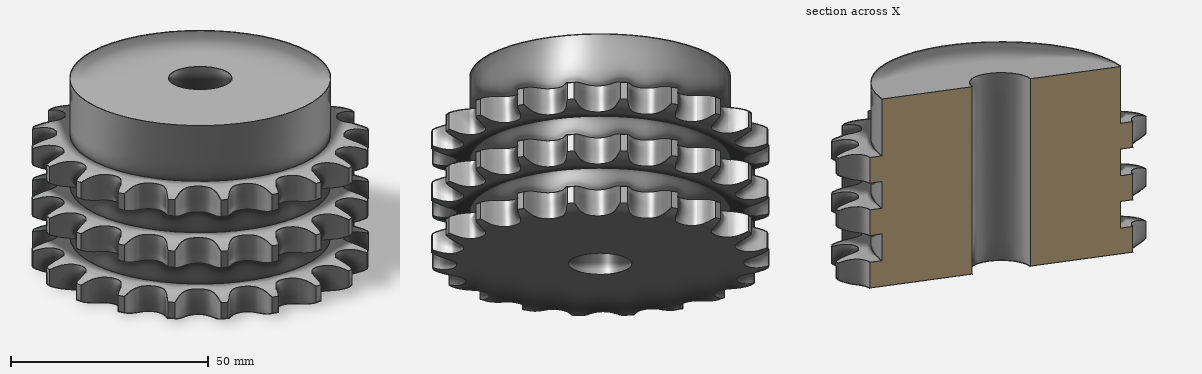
import cadquery as cq
import math

TEETH = 20
PITCH_DIAMETER = 81.2
OVERALL_WIDTH = 85.0
ROLLER_DIAMETER = 8.5
SEAT_CLEARANCE = 0.038

PLATE_COUNT = 3
PLATE_THICKNESS = 7.0
PLATE_SPACING = 13.9
SIDE_RADIUS = 13.0
SIDE_DEPTH = 1.3

HUB_DIAMETER = 66.0
HUB_HEIGHT = 50.0
BORE_DIAMETER = 16.0

TOOTH_ANGLE = 360 / TEETH
CUT_MARGIN = 4.25


def polar(center, radius, angle):
    """Point at the given angle in degrees, measured from +X around a center."""
    turn = math.radians(angle)
    return (center[0] + radius * math.cos(turn), center[1] + radius * math.sin(turn))


roller_center = (0, PITCH_DIAMETER / 2)
seat_radius = 0.5025 * ROLLER_DIAMETER + SEAT_CLEARANCE
seat_angle = 35 + 60 / TEETH
working_sweep = 18 - 56 / TEETH
topping_angle = 17 - 64 / TEETH
working_offset = 0.8 * ROLLER_DIAMETER
topping_offset = 1.4 * ROLLER_DIAMETER

root = polar(roller_center, seat_radius, -90)
seat_middle = polar(roller_center, seat_radius, -(90 + seat_angle) / 2)
seat_end = polar(roller_center, seat_radius, -seat_angle)

working_center = polar(roller_center, working_offset, 180 - seat_angle)
working_radius = seat_radius + working_offset
working_end_angle = seat_angle - working_sweep
working_middle = polar(working_center, working_radius, -(seat_angle + working_end_angle) / 2)
working_end = polar(working_center, working_radius, -working_end_angle)

line_length = (topping_offset * math.sin(math.radians(topping_angle))
               - working_offset * math.sin(math.radians(working_sweep)))
topping_start = polar(working_end, line_length, 90 - working_end_angle)
topping_center = polar(roller_center, topping_offset, -TOOTH_ANGLE / 2)
topping_radius = math.dist(topping_center, topping_start)

tip_rise = OVERALL_WIDTH / 2 - topping_center[1]
tip = (topping_center[0] - math.sqrt(topping_radius**2 - tip_rise**2), OVERALL_WIDTH / 2)
outer_radius = math.hypot(*tip)

start_angle = 180 - working_end_angle
tip_angle = 180 - math.degrees(math.asin(tip_rise / topping_radius))
topping_middle = polar(topping_center, topping_radius, (start_angle + tip_angle) / 2)


def gap_cutter():
    """Prism that removes the gap between two neighboring teeth."""
    return (
        cq.Workplane("XY")
        .workplane(offset=-CUT_MARGIN)
        .moveTo(*root)
        .threePointArc(seat_middle, seat_end)
        .threePointArc(working_middle, working_end)
        .lineTo(*topping_start)
        .threePointArc(topping_middle, tip)
        .lineTo(tip[0], tip[1] + CUT_MARGIN)
        .lineTo(0, tip[1] + CUT_MARGIN)
        .mirrorY()
        .extrude(PLATE_THICKNESS + 2 * CUT_MARGIN)
    )


def plate_blank():
    """Disc whose rim is rounded on both faces, leaving a narrower tip band."""
    flat_radius = outer_radius - math.sqrt(SIDE_RADIUS**2 - (SIDE_RADIUS - SIDE_DEPTH)**2)
    bottom_center = (flat_radius, SIDE_RADIUS)
    top_center = (flat_radius, PLATE_THICKNESS - SIDE_RADIUS)
    half_sweep = math.degrees(math.acos(1 - SIDE_DEPTH / SIDE_RADIUS)) / 2
    bottom_middle = polar(bottom_center, SIDE_RADIUS, half_sweep - 90)
    top_middle = polar(top_center, SIDE_RADIUS, 90 - half_sweep)
    return (
        cq.Workplane("XZ")
        .lineTo(flat_radius, 0)
        .threePointArc(bottom_middle, (outer_radius, SIDE_DEPTH))
        .lineTo(outer_radius, PLATE_THICKNESS - SIDE_DEPTH)
        .threePointArc(top_middle, (flat_radius, PLATE_THICKNESS))
        .lineTo(0, PLATE_THICKNESS)
        .close()
        .revolve(360, (0, 0, 0), (0, 1, 0))
    )


def toothed_plate():
    """One sprocket plate resting on Z = 0, with gaps centered on the X and Y axes."""
    toothed = plate_blank()
    cutter = gap_cutter()
    for tooth in range(TEETH):
        gap = cutter.rotate((0, 0, 0), (0, 0, 1), tooth * TOOTH_ANGLE)
        toothed = toothed.cut(gap)
    return toothed


sprocket = cq.Workplane("XY").circle(HUB_DIAMETER / 2).extrude(HUB_HEIGHT)
plate = toothed_plate()
for level in range(PLATE_COUNT):
    sprocket = sprocket.union(plate.translate((0, 0, level * PLATE_SPACING)))

bore = cq.Workplane("XY").circle(BORE_DIAMETER / 2).extrude(HUB_HEIGHT)
result = sprocket.cut(bore)